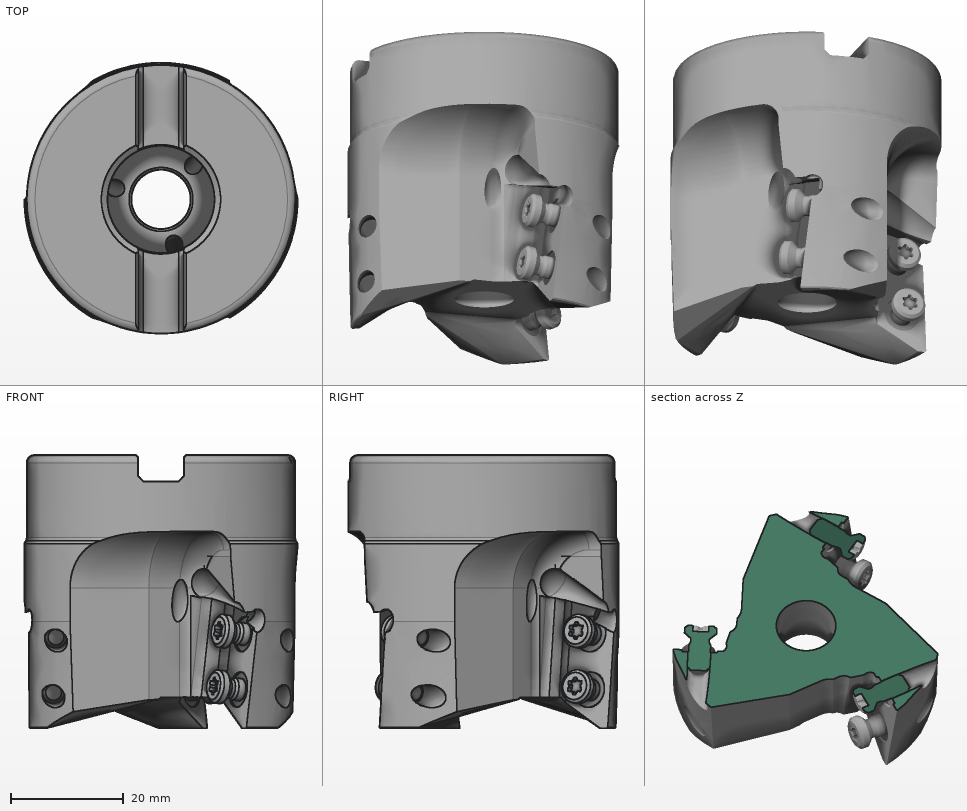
import cadquery as cq

TOOTH_ANGLES = (60, 180, 300)
FAR = 33.95

HEIGHT = 48.5
COLLAR_RADIUS = 23.8
BODY_RADIUS = 24.25
TIP_RADIUS = 23.75
RIM_FILLET = 1.4
COLLAR_BOTTOM = 33.85
STEP_MIDDLE = 33.3
STEP_MIDDLE_RADIUS = 23.95
BODY_TOP = 32.8
TAPER_TOP = 18.95
TIP_CHAMFER = 0.25

BORE_RADIUS = 9.5
BORE_CHAMFER = 1.05
BORE_RELIEF = 0.2
BORE_RELIEF_TOP = 45.0
BORE_RELIEF_BOTTOM = 36.88
BORE_FLOOR = 31.25
SCREW_BORE_RADIUS = 5.25
SCREW_BORE_CHAMFER = 0.45

SLOT_WIDTH = 8.15
SLOT_DEPTH = 4.7
SLOT_FLOOR_CHAMFER = 0.95
SLOT_RIM_CHAMFER = 0.4

RECESS_HEIGHT = 5.55
TIP_SEAT_X = 21.85
TIP_RIDGE = (20.45, 12.15)
RECESS_SEAT_X = 13.75
RECESS_RIDGE = (-0.95, 13.85)
HEEL_DIRECTION = (0.8, 0.6)

FLUTE_TOP = 34.95
FLUTE_RUNOUT = 10.0
FLUTE_FLOOR = 11.65
FLUTE_WALL = 0.25
FLUTE_CORNER = 3.2
WALL_FLARE_TOP = 30.55
WALL_FLARE_BOTTOM = 22.3
WALL_FLARE = 0.82
BACK_FLOOR = 13.8
BACK_FLOOR_ANGLE = 16.3

POCKET_LEAN = 0.125
POCKET_LEFT = -5.8
RELIEF_DEPTH = 12.3
RELIEF_END = -1.75
RELIEF_ARC = (12.6, -0.82)
WALL_START = (13.4, -0.2)
WALL_END = (14.0, 2.3)
SEAT_ARC = (13.93, 3.2)
SEAT_FOOT = 14.45
SEAT = 4.0
POCKET_TOP = 23.55
POCKET_TOP_SLOPE = 0.25

GROOVE_RADIUS = 2.65
GROOVE_START = (14.55, 0.75, 25.7)
GROOVE_DIRECTION = (0.83, 0, -0.55)
CORNER_RADIUS = 1.95
CORNER_START = (19.4, 6.1, 20.6)
CORNER_DIRECTION = (0.93, 0, -0.36)

COOLANT_RADIUS = 1.5
COOLANT_INLET = (8.1, -2.0, BORE_FLOOR)
COOLANT_OUTLET = (FLUTE_FLOOR, -2.9, 22.8)
COOLANT_OVERRUN = 4.35

HEAD_CENTERS = ((19.05, -0.25, 7.5), (18.65, 0.95, 17.35))
SCREW_DIRECTION = (0, 1, -POCKET_LEAN)
SCREW_LENGTH = 9.45
HEAD_RADIUS = 2.95
HEAD_FACE_RADIUS = 2.45
HEAD_RIM = 0.5
HEAD_CYLINDER_END = 1.65
HEAD_END = 2.8
NECK_RADIUS = 1.75
NECK_END = 3.5
THREAD_START = 4.08
THREAD_RADIUS = 2.0
SCREW_END_RADIUS = 1.4
SOCKET_DEPTH = 1.2
SOCKET_RADIUS = 1.15
LOBE_COUNT = 6
LOBE_RADIUS = 0.4
SPOT_FACE_RADIUS = 3.15
SPOT_FACE_DEPTH = 0.4


def turned(points):
    """Revolve a closed outline of (radius, z) points about Z."""
    return cq.Workplane("XZ").polyline(points).close().revolve(360, (0, 0), (0, 1))


def on_each_tooth(shape):
    """Copies of a tooth feature, one turned to each tooth."""
    return [shape.rotate((0, 0, 0), (0, 0, 1), angle) for angle in TOOTH_ANGLES]


def rod(start, direction, radius, length=FAR):
    return cq.Workplane(cq.Solid.makeCylinder(radius, length, cq.Vector(*start), cq.Vector(*direction)))


def turned_blank():
    relief_radius = BORE_RADIUS + BORE_RELIEF
    blank = (
        cq.Workplane("XZ")
        .moveTo(SCREW_BORE_RADIUS, 0)
        .lineTo(TIP_RADIUS - TIP_CHAMFER, 0)
        .lineTo(TIP_RADIUS, TIP_CHAMFER)
        .lineTo(BODY_RADIUS, TAPER_TOP)
        .lineTo(BODY_RADIUS, BODY_TOP)
        .lineTo(STEP_MIDDLE_RADIUS, STEP_MIDDLE)
        .lineTo(COLLAR_RADIUS, COLLAR_BOTTOM)
        .lineTo(COLLAR_RADIUS, HEIGHT - RIM_FILLET)
        .radiusArc((COLLAR_RADIUS - RIM_FILLET, HEIGHT), -RIM_FILLET)
        .lineTo(BORE_RADIUS + BORE_CHAMFER, HEIGHT)
        .lineTo(BORE_RADIUS, HEIGHT - BORE_CHAMFER)
        .lineTo(BORE_RADIUS, BORE_RELIEF_TOP)
        .lineTo(relief_radius, BORE_RELIEF_TOP)
        .lineTo(relief_radius, BORE_RELIEF_BOTTOM)
        .lineTo(BORE_RADIUS, BORE_RELIEF_BOTTOM)
        .lineTo(BORE_RADIUS, BORE_FLOOR)
        .lineTo(SCREW_BORE_RADIUS + SCREW_BORE_CHAMFER, BORE_FLOOR)
        .lineTo(SCREW_BORE_RADIUS, BORE_FLOOR - SCREW_BORE_CHAMFER)
        .close()
    )
    return blank.revolve(360, (0, 0), (0, 1))


def drive_slot():
    half = SLOT_WIDTH / 2
    floor = HEIGHT - SLOT_DEPTH
    right_side = [
        (half - SLOT_FLOOR_CHAMFER, floor),
        (half, floor + SLOT_FLOOR_CHAMFER),
        (half, HEIGHT - SLOT_RIM_CHAMFER),
        (half + SLOT_RIM_CHAMFER, HEIGHT),
    ]
    left_side = [(-x, z) for x, z in reversed(right_side)]
    return cq.Workplane("XZ").polyline(right_side + left_side).close().extrude(FAR, both=True)


def level_outline(points, height):
    return cq.Workplane("XY", origin=(0, 0, height)).polyline(points).close().val()


def tip_wedge():
    """Material kept below the recessed end: ruled faces narrow it down to the cutting tip."""
    heel_reach = (HEEL_DIRECTION[0] * FAR, HEEL_DIRECTION[1] * FAR)
    levels = []
    for seat_x, (ridge_x, ridge_y), height in (
        (TIP_SEAT_X, TIP_RIDGE, 0),
        (RECESS_SEAT_X, RECESS_RIDGE, RECESS_HEIGHT),
    ):
        heel = (ridge_x + heel_reach[0], ridge_y + heel_reach[1])
        outline = [(seat_x, SEAT), (ridge_x, ridge_y), heel, (2 * FAR, SEAT)]
        levels.append(level_outline(outline, height))
    return cq.Workplane(cq.Solid.makeLoft(levels, True))


def end_recess():
    recess = cq.Workplane("XY").circle(FAR).extrude(RECESS_HEIGHT)
    for wedge in on_each_tooth(tip_wedge()):
        recess = recess.cut(wedge)
    return recess


def flute_sweep(floor, y_end):
    """A straight flute with a flat floor that runs out through a quarter round to its top."""
    outline = (
        cq.Workplane("XZ", origin=(0, y_end, 0))
        .moveTo(floor, -FAR)
        .lineTo(floor, FLUTE_TOP - FLUTE_RUNOUT)
        .radiusArc((floor + FLUTE_RUNOUT, FLUTE_TOP), FLUTE_RUNOUT)
        .lineTo(FAR, FLUTE_TOP)
        .lineTo(FAR, -FAR)
        .close()
    )
    return outline.extrude(FAR)


def wall_flare():
    """The lower part of the flute wall leans away from the flute."""
    outline = [
        (FLUTE_WALL, WALL_FLARE_TOP),
        (FLUTE_WALL, WALL_FLARE_BOTTOM),
        (FLUTE_WALL + WALL_FLARE, WALL_FLARE_BOTTOM),
    ]
    start = FLUTE_FLOOR + FLUTE_CORNER
    return cq.Workplane("YZ", origin=(start, 0, 0)).polyline(outline).close().extrude(FAR - start)


def flute():
    """Two floors meeting at an angle, closed by a wall with a rounded inner corner."""
    front = flute_sweep(FLUTE_FLOOR, FLUTE_WALL)
    front = front.faces(">Y").edges("not(>X or <Z)").fillet(FLUTE_CORNER)
    back = flute_sweep(BACK_FLOOR, 0).rotate((0, 0, 0), (0, 0, 1), -BACK_FLOOR_ANGLE)
    return front.union(back).union(wall_flare())


def insert_pocket():
    base = (
        cq.Workplane("XY")
        .moveTo(FAR, POCKET_LEFT)
        .lineTo(RELIEF_DEPTH, POCKET_LEFT)
        .lineTo(RELIEF_DEPTH, RELIEF_END)
        .threePointArc(RELIEF_ARC, WALL_START)
        .lineTo(*WALL_END)
        .threePointArc(SEAT_ARC, (SEAT_FOOT, SEAT))
        .lineTo(FAR, SEAT)
        .close()
    )
    section = cq.Face.makeFromWires(base.val())
    leaning = cq.Workplane(cq.Solid.extrudeLinear(section, cq.Vector(0, POCKET_LEAN * FAR, FAR)))
    far_top = POCKET_TOP - POCKET_TOP_SLOPE * (FAR - RELIEF_DEPTH)
    near_top = POCKET_TOP + POCKET_TOP_SLOPE * RELIEF_DEPTH
    below_top = [(0, -FAR), (0, near_top), (FAR, far_top), (FAR, -FAR)]
    return leaning.intersect(cq.Workplane("XZ").polyline(below_top).close().extrude(FAR, both=True))


def pocket_groove():
    round_end = cq.Workplane("XY").sphere(GROOVE_RADIUS).translate(GROOVE_START)
    return rod(GROOVE_START, GROOVE_DIRECTION, GROOVE_RADIUS).union(round_end)


def corner_relief():
    return rod(CORNER_START, CORNER_DIRECTION, CORNER_RADIUS)


def coolant_hole():
    run = cq.Vector(*COOLANT_OUTLET) - cq.Vector(*COOLANT_INLET)
    start = cq.Vector(*COOLANT_INLET) - run.normalized() * COOLANT_OVERRUN
    return rod(start.toTuple(), run.toTuple(), COOLANT_RADIUS, run.Length + 2 * COOLANT_OVERRUN)


def screw_hole(center):
    """Through hole for one screw, spot-faced where it enters the leaning seat."""
    head = cq.Vector(*center)
    axis = cq.Vector(*SCREW_DIRECTION)
    seat_y = SEAT + POCKET_LEAN * head.z
    seat_distance = (seat_y - head.y) / axis.Length
    hole = rod(center, SCREW_DIRECTION, THREAD_RADIUS)
    return hole.union(rod(center, SCREW_DIRECTION, SPOT_FACE_RADIUS, seat_distance + SPOT_FACE_DEPTH))


def cutter_body():
    body = turned_blank().cut(drive_slot()).cut(end_recess())
    features = [flute(), insert_pocket(), pocket_groove(), corner_relief(), coolant_hole()]
    features += [screw_hole(center) for center in HEAD_CENTERS]
    for feature in features:
        for cutter in on_each_tooth(feature):
            body = body.cut(cutter)
    return body


def screw():
    """Screw along +Z with the face of its head at Z = 0."""
    end_chamfer = THREAD_RADIUS - SCREW_END_RADIUS
    shape = turned([
        (0, 0),
        (HEAD_FACE_RADIUS, 0),
        (HEAD_RADIUS, HEAD_RIM),
        (HEAD_RADIUS, HEAD_CYLINDER_END),
        (NECK_RADIUS, HEAD_END),
        (NECK_RADIUS, NECK_END),
        (THREAD_RADIUS, THREAD_START),
        (THREAD_RADIUS, SCREW_LENGTH - end_chamfer),
        (SCREW_END_RADIUS, SCREW_LENGTH),
        (0, SCREW_LENGTH),
    ])
    socket = cq.Workplane("XY").circle(SOCKET_RADIUS).extrude(SOCKET_DEPTH)
    lobes = cq.Workplane("XY").polarArray(SOCKET_RADIUS, 0, 360, LOBE_COUNT).circle(LOBE_RADIUS)
    return shape.cut(socket.union(lobes.extrude(SOCKET_DEPTH)))


def placed_screws():
    screws = []
    for center in HEAD_CENTERS:
        head_plane = cq.Plane(origin=center, normal=SCREW_DIRECTION)
        screws += on_each_tooth(screw().val().located(cq.Location(head_plane)))
    return screws


body = cutter_body()
result = cq.Compound.makeCompound([body.val(), *placed_screws()])